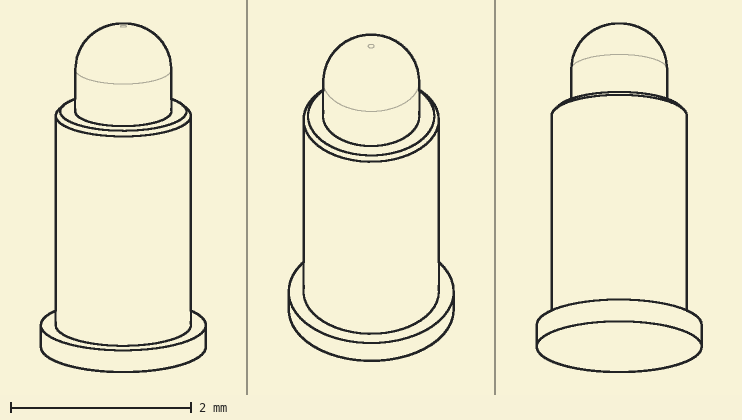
import cadquery as cq

total_height = 3.73

flange_diameter = 1.83
flange_thickness = 0.254

barrel_diameter = 1.5
barrel_top = 2.74
barrel_chamfer = 0.05

plunger_diameter = 1.067
tip_radius = 0.5


def make_flange():
    return cq.Workplane("XY").circle(flange_diameter / 2).extrude(flange_thickness)


def make_barrel():
    barrel = cq.Workplane("XY").circle(barrel_diameter / 2).extrude(barrel_top)
    return barrel.faces(">Z").edges().chamfer(barrel_chamfer)


def make_plunger():
    plunger = cq.Workplane("XY").circle(plunger_diameter / 2).extrude(total_height)
    return plunger.faces(">Z").edges().fillet(tip_radius)


result = make_flange().union(make_barrel()).union(make_plunger())